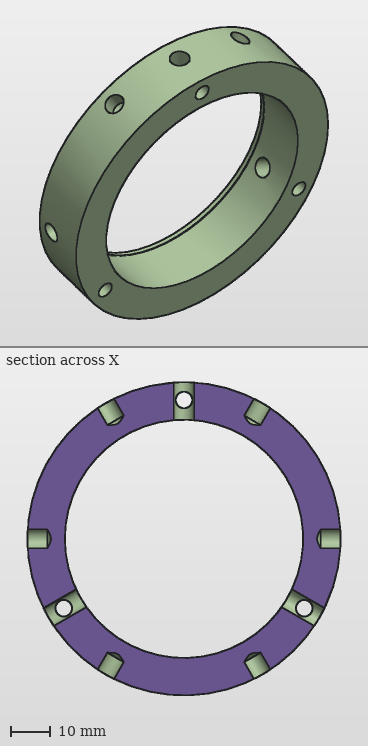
import cadquery as cq
import math

width = 16.0
lip_height = 0.5
outer_diameter = 79.0
lip_diameter = 65.0
bore_diameter = 60.0
relief_diameter = 60.5
relief_depth = 1.5

hole_diameter = 5.1
blind_hole_x = 5.5
blind_hole_depth = 5.0
drill_point_angle = 118.0
blind_hole_angles = [0, 60, 120, 180, 240, 300]
through_hole_x = 6.5
through_hole_angles = [90, 210, 330]

axial_hole_diameter = 4.13
axial_hole_circle_diameter = 70.0

outer_radius = outer_diameter / 2
hole_radius = hole_diameter / 2
overshoot = 1.0


def disc(diameter, start_x, end_x):
    """Cylinder about the X axis between two X positions."""
    return cq.Workplane("YZ", origin=(start_x, 0, 0)).circle(diameter / 2).extrude(end_x - start_x)


def place_radially(cutter, angle):
    """Turn a cutter about the ring axis from the -Y direction to the given angle towards +Z."""
    return cutter.rotate((0, 0, 0), (1, 0, 0), -angle)


def blind_hole_cutter():
    """Drilled hole entering from the -Y side, with a conical bottom."""
    point_length = hole_radius / math.tan(math.radians(drill_point_angle / 2))
    floor_y = blind_hole_depth - outer_radius
    profile = (
        cq.Workplane("XY", origin=(blind_hole_x, 0, 0))
        .moveTo(0, -outer_radius - overshoot)
        .lineTo(hole_radius, -outer_radius - overshoot)
        .lineTo(hole_radius, floor_y)
        .lineTo(0, floor_y + point_length)
        .close()
    )
    return profile.revolve(360, (0, 0, 0), (0, 1, 0))


def through_hole_cutter():
    """Straight hole from the -Y side into the bore."""
    start = (through_hole_x, -outer_radius - overshoot, 0)
    return cq.Workplane("ZX", origin=start).circle(hole_radius).extrude(outer_radius)


def axial_hole_cutter():
    """Hole along X from the +X face to the axis of the through hole on the -Y side."""
    hole = disc(axial_hole_diameter, through_hole_x, width + overshoot)
    return hole.translate((0, -axial_hole_circle_diameter / 2, 0))


ring = disc(outer_diameter, lip_height, width).union(disc(lip_diameter, 0, width))
ring = ring.cut(disc(bore_diameter, -overshoot, width + overshoot))
ring = ring.cut(disc(relief_diameter, -overshoot, relief_depth))

for angle in blind_hole_angles:
    ring = ring.cut(place_radially(blind_hole_cutter(), angle))
for angle in through_hole_angles:
    ring = ring.cut(place_radially(through_hole_cutter(), angle))
    ring = ring.cut(place_radially(axial_hole_cutter(), angle))

result = ring